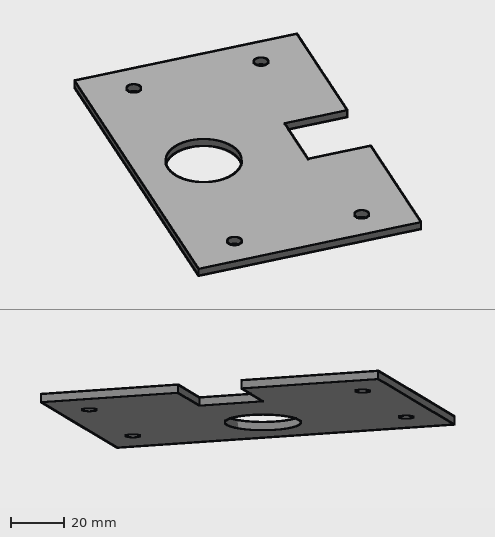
import cadquery as cq

length = 133.4
width = 89.0
thickness = 3.2

notch_side = 25.1

opening_diameter = 28.5
opening_y = -17.6

mount_diameter = 5.5
mount_spacing_x = 108.0
mount_spacing_y = 50.8

plate = cq.Workplane("XY").box(length, width, thickness)

notched_plate = (
    plate.faces(">Z")
    .workplane(origin=(0, width / 2, 0))
    .rect(notch_side, 2 * notch_side)
    .cutThruAll()
)

opened_plate = (
    notched_plate.faces(">Z")
    .workplane(origin=(0, opening_y, 0))
    .hole(opening_diameter)
)

result = (
    opened_plate.faces(">Z")
    .workplane(origin=(0, 0, 0))
    .rect(mount_spacing_x, mount_spacing_y, forConstruction=True)
    .vertices()
    .hole(mount_diameter)
)